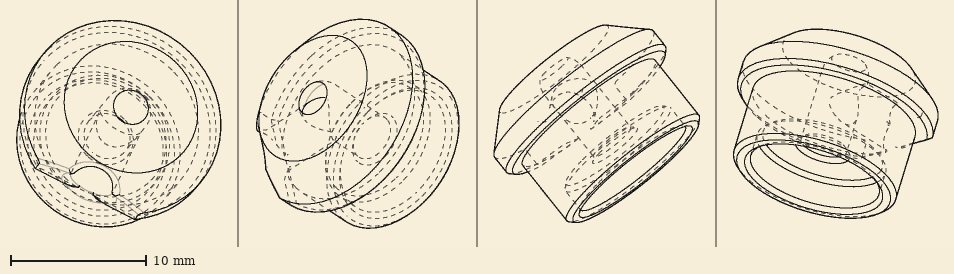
import cadquery as cq
import math

tilt_about_y = 35.4
tilt_about_x = 38.3

total_height = 9.85
body_diameter = 12.5
flange_diameter = 15.0
flange_bottom = 5.65
flange_top = 7.45
top_face_diameter = 10.2
edge_chamfer = 0.35

socket_diameter = 9.9
socket_depth = 2.5

axial_bore_diameter = 3.5
top_opening_diameter = 2.66

flat_distance = 6.25
flat_edge_fillet = 0.5
radial_bore_diameter = 3.4
radial_bore_height = 7.25
mouth_fillet = 0.5

body_radius = body_diameter / 2
flange_radius = flange_diameter / 2
top_face_radius = top_face_diameter / 2
socket_radius = socket_diameter / 2
axial_bore_radius = axial_bore_diameter / 2
radial_bore_radius = radial_bore_diameter / 2
cone_slope = (flange_radius - top_face_radius) / (total_height - flange_top)
cone_base_radius = top_face_radius + cone_slope * total_height
dome_center = total_height - math.sqrt(axial_bore_radius**2 - (top_opening_diameter / 2) ** 2)
blank_width = 3 * flange_diameter


def make_cylinder(radius, bottom, top):
    return cq.Workplane("XY").workplane(offset=bottom).circle(radius).extrude(top - bottom)


def make_cone():
    """Conical top of the flange, continued down to the open end."""
    return (
        cq.Workplane("XZ")
        .lineTo(cone_base_radius, 0)
        .lineTo(top_face_radius, total_height)
        .lineTo(0, total_height)
        .close()
        .revolve(360, (0, 0), (0, 1))
    )


def make_flat_block():
    """Large block whose -Y face is the plane of the flat."""
    block = cq.Workplane("XY").box(blank_width, blank_width, blank_width, centered=(True, False, True))
    return block.translate((0, -flat_distance, 0))


def pierce_radially(solid):
    """Cut the radial bore from the axis towards -Y and round its mouth."""
    bore = cq.Workplane("XZ").center(0, radial_bore_height).circle(radial_bore_radius).extrude(blank_width)
    mouth_zone = cq.selectors.BoxSelector(
        (-radial_bore_radius, -cone_base_radius, radial_bore_height - radial_bore_radius),
        (radial_bore_radius, -body_radius / 2, radial_bore_height + radial_bore_radius),
    )
    return solid.cut(bore).edges(mouth_zone).fillet(mouth_fillet)


def make_flange():
    """Flange with a flat side, chamfered underside, conical top and rounded bore mouth."""
    flange = make_cylinder(flange_radius, flange_bottom, total_height)
    flange = flange.intersect(make_flat_block())
    flange = flange.faces("<Z").edges().chamfer(edge_chamfer)
    flange = flange.intersect(make_cone())
    flange = flange.faces("<Y").edges(">Z").fillet(flat_edge_fillet)
    flange = flange.intersect(pierce_radially(make_cone()))
    return flange.intersect(pierce_radially(make_flat_block()))


def make_body():
    """Cylindrical body up to the flange, with the lower part of the rounded bore mouth."""
    body = make_cylinder(body_radius, 0, 2 * total_height).faces("<Z").edges().chamfer(edge_chamfer)
    return pierce_radially(body).intersect(make_cylinder(flange_radius, 0, flange_bottom))


def make_axial_cavity():
    """Chamfered socket, axial bore and its domed end, as one revolved solid."""
    dome_offset = axial_bore_radius * math.sqrt(0.5)
    return (
        cq.Workplane("XZ")
        .lineTo(socket_radius + edge_chamfer, 0)
        .lineTo(socket_radius, edge_chamfer)
        .lineTo(socket_radius, socket_depth - edge_chamfer)
        .lineTo(socket_radius - edge_chamfer, socket_depth)
        .lineTo(axial_bore_radius + edge_chamfer, socket_depth)
        .lineTo(axial_bore_radius, socket_depth + edge_chamfer)
        .lineTo(axial_bore_radius, dome_center)
        .threePointArc((dome_offset, dome_center + dome_offset), (0, dome_center + axial_bore_radius))
        .close()
        .revolve(360, (0, 0), (0, 1))
    )


upright = make_body().union(make_flange()).cut(make_axial_cavity())
tilted = upright.rotate((0, 0, 0), (0, 1, 0), tilt_about_y)
result = tilted.rotate((0, 0, 0), (1, 0, 0), tilt_about_x)